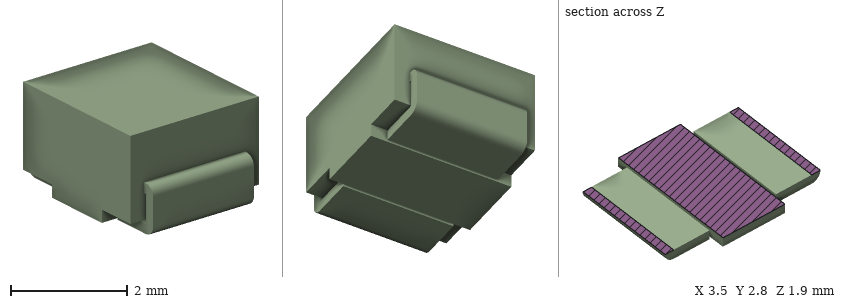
import cadquery as cq

overall_length = 3.5
overall_height = 1.9

body_length = 3.0
body_width = 2.8
body_underside = 0.25
foot_length = 1.4

terminal_thickness = 0.2
terminal_width = 2.2
terminal_height = 0.95
terminal_base_length = 1.0
bend_radius = 0.2


def make_body():
    """Block with a narrower central foot across its full width."""
    block = cq.Workplane("XY").box(
        body_length,
        body_width,
        overall_height - body_underside,
        centered=(True, True, False),
    ).translate((0, 0, body_underside))
    foot = cq.Workplane("XY").box(
        foot_length, body_width, overall_height, centered=(True, True, False)
    )
    return block.union(foot)


def make_left_terminal():
    """C-shaped strip: base, upright and a short top leg that meets the body end."""
    outer_x = -overall_length / 2
    upright_inner_x = outer_x + terminal_thickness
    base_end_x = outer_x + terminal_base_length
    body_end_x = -body_length / 2
    top_leg_underside = terminal_height - terminal_thickness

    strip = (
        cq.Workplane("XZ")
        .moveTo(body_end_x, terminal_height)
        .lineTo(outer_x, terminal_height)
        .lineTo(outer_x, 0)
        .lineTo(base_end_x, 0)
        .lineTo(base_end_x, terminal_thickness)
        .lineTo(upright_inner_x, terminal_thickness)
        .lineTo(upright_inner_x, top_leg_underside)
        .lineTo(body_end_x, top_leg_underside)
        .close()
        .extrude(terminal_width / 2, both=True)
    )
    return strip.faces("<X").edges("|Y").fillet(bend_radius)


left_terminal = make_left_terminal()
right_terminal = left_terminal.mirror("YZ")
result = make_body().union(left_terminal).union(right_terminal)